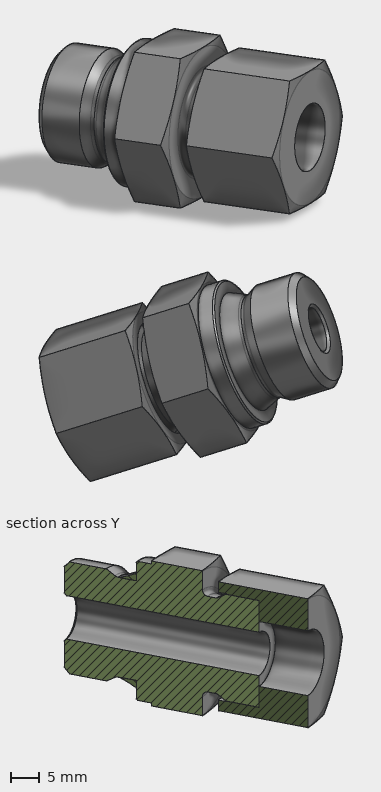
import cadquery as cq
import math


thread_end = 8.25
flange_start = 14.0
hex_start = 17.0
hex_end = 27.0
nut_start = 30.0
stem_end = 38.0
nut_end = 47.5

stud_radius = 10.45
stud_chamfer = 1.1
undercut_radius = 9.3
undercut_angle = math.radians(30)
undercut_fillet = 1.2
flange_radius = 12.95
flange_chamfer = 0.3
body_across_flats = 27.0
neck_radius = 8.95
neck_fillet = 1.0
stem_chamfer_start = 29.75
stem_chamfer_angle = math.radians(30)
stem_radius = 9.98
bore_radius = 4.0
bore_chamfer = 0.48

seal_flare_angle = math.radians(22.5)

nut_across_flats = 24.0
tube_hole_radius = 6.0

hex_chamfer_angle = math.radians(15)
hex_chamfer_inset = 0.1

runout_length = (stud_radius - undercut_radius) / math.tan(undercut_angle)
undercut_start = thread_end + runout_length + undercut_fillet * math.tan(undercut_angle / 2)


def revolve_about_axis(profile):
    """Revolve a closed profile, drawn as (x, radius), around the X axis."""
    return profile.close().revolve(360, (0, 0, 0), (1, 0, 0))


def fillet_point(tangent_x, slope, side):
    """Point of the undercut fillet where its slope is reached, on one side of its lowest point."""
    x = tangent_x + side * undercut_fillet * math.sin(slope)
    radius = undercut_radius + undercut_fillet * (1 - math.cos(slope))
    return (x, radius)


def hexagon(start, end, across_flats):
    """Hexagonal prism with two flats facing up and down and chamfered corners at both ends."""
    corner_radius = across_flats / math.sqrt(3)
    chamfer_radius = across_flats / 2 - hex_chamfer_inset
    chamfer_depth = (corner_radius - chamfer_radius) * math.tan(hex_chamfer_angle)
    prism = (
        cq.Workplane("YZ")
        .workplane(offset=start)
        .polygon(6, 2 * corner_radius)
        .extrude(end - start)
    )
    envelope = revolve_about_axis(
        cq.Workplane("XY")
        .moveTo(start, 0)
        .lineTo(start, chamfer_radius)
        .lineTo(start + chamfer_depth, corner_radius)
        .lineTo(end - chamfer_depth, corner_radius)
        .lineTo(end, chamfer_radius)
        .lineTo(end, 0)
    )
    return prism.intersect(envelope)


def cylinder(start, end, radius):
    return cq.Workplane("YZ").workplane(offset=start).circle(radius).extrude(end - start)


def make_body():
    """Stud with undercut, flange, hexagon, neck and threaded stem, bored through."""
    stud_and_flange = revolve_about_axis(
        cq.Workplane("XY")
        .moveTo(0, 0)
        .lineTo(0, stud_radius - stud_chamfer)
        .lineTo(stud_chamfer, stud_radius)
        .lineTo(thread_end, stud_radius)
        .lineTo(*fillet_point(undercut_start, undercut_angle, -1))
        .threePointArc(
            fillet_point(undercut_start, undercut_angle / 2, -1),
            (undercut_start, undercut_radius),
        )
        .lineTo(flange_start, undercut_radius)
        .lineTo(flange_start, flange_radius - flange_chamfer)
        .lineTo(flange_start + flange_chamfer, flange_radius)
        .lineTo(hex_start, flange_radius)
        .lineTo(hex_start, 0)
    )

    arc_inset = neck_fillet * (1 - math.sqrt(0.5))
    stem_chamfer_length = (stem_radius - neck_radius) / math.tan(stem_chamfer_angle)
    neck_and_stem = revolve_about_axis(
        cq.Workplane("XY")
        .moveTo(hex_end, 0)
        .lineTo(hex_end, neck_radius + neck_fillet)
        .threePointArc(
            (hex_end + arc_inset, neck_radius + arc_inset),
            (hex_end + neck_fillet, neck_radius),
        )
        .lineTo(stem_chamfer_start, neck_radius)
        .lineTo(stem_chamfer_start + stem_chamfer_length, stem_radius)
        .lineTo(stem_end, stem_radius)
        .lineTo(stem_end, 0)
    )

    bore = revolve_about_axis(
        cq.Workplane("XY")
        .moveTo(0, 0)
        .lineTo(0, bore_radius + bore_chamfer)
        .lineTo(bore_chamfer, bore_radius)
        .lineTo(stem_end, bore_radius)
        .lineTo(stem_end, 0)
    )
    hex_section = hexagon(hex_start, hex_end, body_across_flats)
    return stud_and_flange.union(hex_section).union(neck_and_stem).cut(bore)


def make_seal():
    """Ring on the undercut cylinder that flares from a thin lip to the flange face."""
    flare_start = fillet_point(undercut_start, seal_flare_angle, 1)
    flare_rise = (flange_start - flare_start[0]) * math.tan(seal_flare_angle)
    return revolve_about_axis(
        cq.Workplane("XY")
        .moveTo(undercut_start, undercut_radius)
        .threePointArc(fillet_point(undercut_start, seal_flare_angle / 2, 1), flare_start)
        .lineTo(flange_start, flare_start[1] + flare_rise)
        .lineTo(flange_start, undercut_radius)
    )


def make_nut():
    """Hexagonal nut with a socket for the stem and a smaller hole for the tube behind it."""
    stem_socket = cylinder(nut_start, stem_end, stem_radius)
    tube_hole = cylinder(stem_end, nut_end, tube_hole_radius)
    return hexagon(nut_start, nut_end, nut_across_flats).cut(stem_socket).cut(tube_hole)


body = make_body()
seal = make_seal()
nut = make_nut()

result = cq.Compound.makeCompound([body.val(), seal.val(), nut.val()])